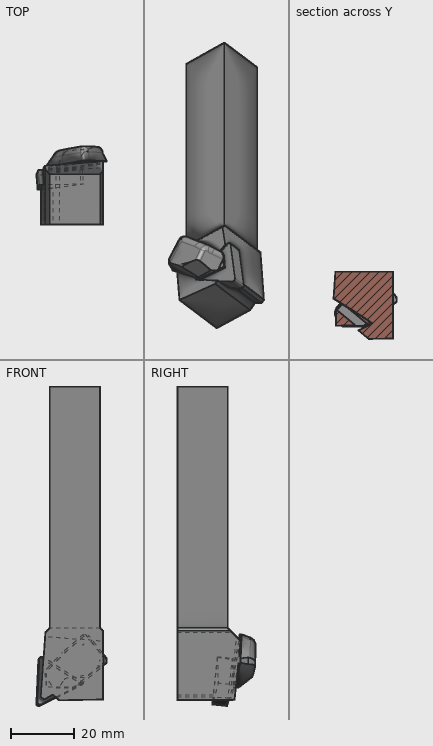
import cadquery as cq
import math

shank_size = 16.0
total_height = 101.35

shoulder_z = 24.8
head_left_step = 1.4
head_right_step = 0.95
head_left_foot = (-2.83, 2.9)
nose_gap_points = [(-1.75, 2.1), (0.95, 3.6), (3.0, 1.8)]
head_right_foot_z = 2.05
head_right = shank_size + head_right_step
head_depth = 24.0

back_y_at_origin = 16.52
back_slope_x = 0.086
back_slope_z = 0.104

insert_corner = (-4.40, -0.59)
insert_side = 16.5
triangle_angle = 60.0
insert_thickness = 4.76
insert_lean = 3.1
insert_nose_radius = 0.8
insert_sink = 0.45

clamp_left_corner = (-1.7, 11.2)
clamp_bend = (4.1, 17.2)
clamp_apex = (11.7, 23.75)
clamp_right_corner = (19.0, 14.4)
clamp_tail_corner = (8.0, 5.6)
clamp_outline = [
    clamp_left_corner,
    clamp_bend,
    clamp_apex,
    clamp_right_corner,
    clamp_tail_corner,
    (clamp_left_corner[0], clamp_tail_corner[1]),
]
clamp_height = 4.98
clamp_draft = 10.0
clamp_crown_radius = 2.6
clamp_apex_radius = 1.8
clamp_back_y = 24.86

pad_height = 0.5
pad_inset = 0.6
pad_overlap = 0.1
pad_right_end = head_right

nose_point = (-1.8, 18.3, 10.4)
nose_normal = (-0.6, 0.65, -0.45)
nose_edge_point = (-0.4, 19.4, 11.0)
nose_edge_radius = 2.5

right_end_foot = (18.1, 20.1)
right_end_bend = (16.9, 22.5)
right_end_arc_middle = (16.2, 24.1)
right_end_top_x = 14.7

lower_end_foot = (19.3, 5.8)
lower_end_bend = (23.7, 9.2)
lower_end_arc_middle = (24.5, 11.3)
lower_end_top_z = 13.7

cut_reach = 40.0

back_normal = cq.Vector(-back_slope_x, 1, -back_slope_z).normalized()
back_plane = cq.Plane(
    origin=(0, back_y_at_origin, 0),
    xDir=(1, back_slope_x, 0),
    normal=(-back_normal).toTuple(),
)


def back_face_at(height):
    """Workplane parallel to the tilted back face, raised outward by height."""
    return cq.Workplane(back_plane).workplane(offset=-height)


def make_shank():
    length = total_height - shoulder_z
    return cq.Workplane("XY", origin=(0, 0, shoulder_z)).box(shank_size, shank_size, length, centered=False)


def make_head():
    front_outline = [
        (0, shoulder_z),
        (-head_left_step, shoulder_z - head_left_step),
        head_left_foot,
        *nose_gap_points,
        (head_right, head_right_foot_z),
        (head_right, shoulder_z - head_right_step),
        (shank_size, shoulder_z),
    ]
    block = cq.Workplane("XZ").polyline(front_outline).close().extrude(-head_depth)
    side_limit = (
        cq.Workplane("YZ", origin=(-cut_reach, 0, 0))
        .polyline([
            (0, 0),
            (shank_size + shoulder_z, 0),
            (shank_size, shoulder_z),
            (0, shoulder_z),
        ])
        .close()
        .extrude(2 * cut_reach)
    )
    above_back_face = back_face_at(0).rect(4 * cut_reach, 4 * cut_reach).extrude(-cut_reach)
    return block.intersect(side_limit).cut(above_back_face)


def insert_outline(height):
    """Triangle with its sharp corner at the lower left, on a plane at height."""
    x, z = insert_corner
    corners = [insert_corner]
    for angle in (90 - insert_lean, 90 - triangle_angle - insert_lean):
        direction = math.radians(angle)
        corners.append((x + insert_side * math.cos(direction), z + insert_side * math.sin(direction)))
    return back_face_at(height).polyline(corners).close()


def make_insert():
    plate = insert_outline(-insert_sink).extrude(insert_thickness)
    return plate.edges(cq.selectors.ParallelDirSelector(back_normal)).fillet(insert_nose_radius)


def make_insert_pocket():
    return insert_outline(insert_sink).extrude(insert_thickness + 2 * insert_sink)


def nearest_edge(point):
    return cq.selectors.NearestToPointSelector(point)


def make_clamp_block():
    """Drafted block with its upper back edges and its apex rounded."""
    block = back_face_at(pad_height).polyline(clamp_outline).close().extrude(-clamp_height, taper=clamp_draft)
    upper_edges = cq.selectors.BoxSelector(
        (-cut_reach, 0, clamp_left_corner[1]), (cut_reach, cut_reach, cut_reach)
    )
    back = block.faces(cq.selectors.DirectionMinMaxSelector(back_normal))
    block = back.edges(upper_edges).fillet(clamp_crown_radius)
    apex_foot = back_plane.toWorldCoords((*clamp_apex, -2 * pad_height))
    return block.edges(nearest_edge(apex_foot.toTuple())).fillet(clamp_apex_radius)


def cut_clamp_nose(block):
    nose_plane = cq.Plane(origin=nose_point, normal=nose_normal)
    beyond_nose = cq.Workplane(nose_plane).rect(2 * cut_reach, 2 * cut_reach).extrude(cut_reach)
    return block.cut(beyond_nose).edges(nearest_edge(nose_edge_point)).fillet(nose_edge_radius)


def clamp_right_limit():
    """Everything left of the sloped right end and in front of the clamp's back."""
    return (
        cq.Workplane("XY")
        .moveTo(-cut_reach, 0)
        .lineTo(right_end_foot[0], 0)
        .lineTo(*right_end_foot)
        .lineTo(*right_end_bend)
        .threePointArc(right_end_arc_middle, (right_end_top_x, clamp_back_y))
        .lineTo(-cut_reach, clamp_back_y)
        .close()
        .extrude(cut_reach)
    )


def clamp_lower_limit():
    """Everything above the sloped lower end of the clamp."""
    return (
        cq.Workplane("YZ", origin=(-cut_reach, 0, 0))
        .moveTo(0, lower_end_foot[1])
        .lineTo(*lower_end_foot)
        .lineTo(*lower_end_bend)
        .threePointArc(lower_end_arc_middle, (clamp_back_y, lower_end_top_z))
        .lineTo(clamp_back_y, cut_reach)
        .lineTo(0, cut_reach)
        .close()
        .extrude(2 * cut_reach)
    )


def make_pad():
    pad = back_face_at(-pad_overlap).polyline(clamp_outline).close().offset2D(-pad_inset)
    right_end = cq.Workplane("YZ", origin=(pad_right_end, 0, 0))
    beyond_right_end = right_end.rect(2 * cut_reach, 2 * cut_reach).extrude(cut_reach)
    return pad.extrude(-pad_height - 2 * pad_overlap).cut(beyond_right_end)


def make_clamp():
    finger = cut_clamp_nose(make_clamp_block())
    return finger.union(make_pad()).intersect(clamp_right_limit()).intersect(clamp_lower_limit())


holder = make_head().cut(make_insert_pocket()).union(make_shank()).union(make_clamp())
insert = make_insert()

result = cq.Compound.makeCompound([holder.solids().val(), insert.solids().val()])